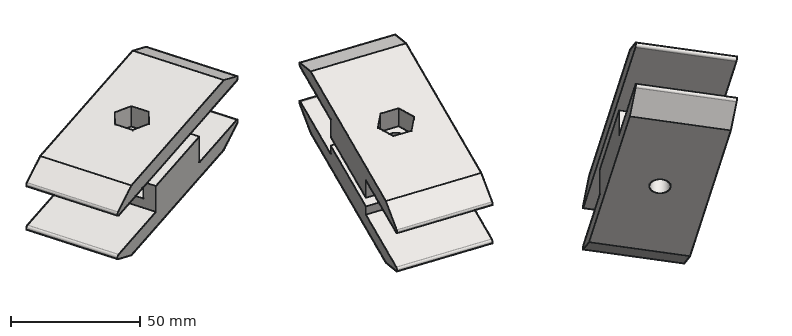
import cadquery as cq
import math

length = 99.3
width = 40.0
height = 34.0

plate_thickness = 7.5
taper_angle = math.atan(1 / 2)
tip_radius = 1.1

boss_length = 35.7
upper_boss_depth = 17.2
lower_boss_height = 12.1
lip_height = 20.15
lip_width = 5.5
lip_clearance = 0.5

bolt_hole_diameter = 8.2
nut_across_flats = 13.2
nut_across_corners = nut_across_flats / math.cos(math.pi / 6)
nut_pocket_depth = 9.9


def tapered_plate():
    """Plate with its outer face on Z = 0, tapered to a round tip at both Y ends."""
    half_length = length / 2
    tip_center_y = half_length - tip_radius
    tip_center_z = plate_thickness - tip_radius
    tangent_y = tip_center_y + tip_radius * math.sin(taper_angle)
    tangent_z = tip_center_z - tip_radius * math.cos(taper_angle)
    half_flat = tangent_y - tangent_z / math.tan(taper_angle)
    outline = (
        cq.Workplane("YZ")
        .moveTo(-half_flat, 0)
        .lineTo(half_flat, 0)
        .lineTo(tangent_y, tangent_z)
        .threePointArc((half_length, tip_center_z), (tip_center_y, plate_thickness))
        .lineTo(-tip_center_y, plate_thickness)
        .threePointArc((-half_length, tip_center_z), (-tangent_y, tangent_z))
        .close()
    )
    return outline.extrude(width / 2, both=True)


def boss(start_x, boss_width, boss_height):
    """Central block rising from Z = 0, reaching from start_x along +X."""
    block = cq.Workplane("XY").box(boss_width, boss_length, boss_height, centered=(False, True, False))
    return block.translate((start_x, 0, 0))


def bolt_hole():
    """Cylinder long enough to pass through either jaw."""
    return cq.Workplane("XY").circle(bolt_hole_diameter / 2).extrude(height)


def make_lower_jaw():
    """Tapered plate with a full-width boss and a lip along its +X side."""
    base = boss(-width / 2, width, lower_boss_height)
    lip = boss(width / 2 - lip_width, lip_width, lip_height)
    return tapered_plate().union(base).union(lip).cut(bolt_hole())


def make_upper_jaw():
    """Inverted tapered plate whose boss clears the lip, with a hexagonal nut pocket."""
    boss_width = width - lip_width - lip_clearance
    jaw = tapered_plate().union(boss(-width / 2, boss_width, upper_boss_depth))
    nut_pocket = cq.Workplane("XY").polygon(6, nut_across_corners).extrude(nut_pocket_depth)
    jaw = jaw.cut(bolt_hole()).cut(nut_pocket)
    return jaw.mirror("XY").translate((0, 0, height))


lower_jaw = make_lower_jaw()
upper_jaw = make_upper_jaw()

result = cq.Compound.makeCompound([lower_jaw.solids().val(), upper_jaw.solids().val()])